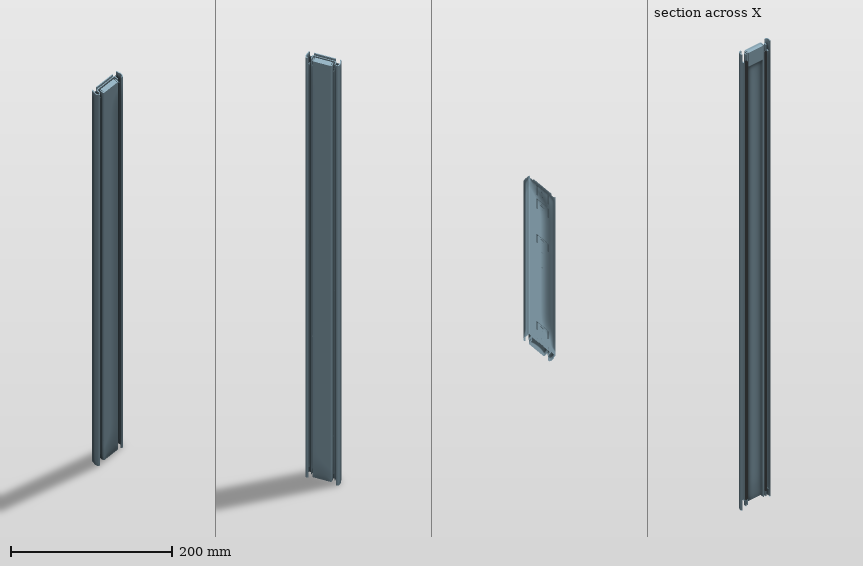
import cadquery as cq
import math


LENGTH = 750.0
WIDTH = 46.0
DEPTH = 12.0
TOP = LENGTH / 2
BOTTOM = -LENGTH / 2

SHEET = 1.2

CORNER_RADIUS = 1.4
BULGE_RADIUS = 8.0
BULGE_CENTER = 6.9
BULGE_ANGLE = math.radians(27)
LIP_RADIUS = 2.0
LIP_END = math.radians(130)
WEB_NORMAL = math.radians(-90)

NESTED_TOP = 372.0
NESTED_BOTTOM = -371.0
NESTED_LENGTH = NESTED_TOP - NESTED_BOTTOM
NESTED_CORNER = 1.9
WEB_GAP = 0.45
MIDDLE_WEB_START = SHEET + WEB_GAP
MIDDLE_WIDTH = 32.0
MIDDLE_FLANGE_END = 8.0
INNER_WIDTH = 26.0
INNER_FLANGE_END = 5.0
END_NOTCH_WIDTH = 7.5
END_NOTCH_DEPTH = 2.0

RETAINER_LENGTH = 720.0
STRIP_START = 4.0
STRIP_DEPTH = 4.0
STRIP_THICKNESS = 1.5
CAGE_SHEET = 1.0
CAGE_CLEARANCE = 0.3

BLOCK_DEPTH = 6.0
BLOCK_WIDTH = 22.5
BLOCK_LENGTH = 22.5

SLOT_WIDTH = 20.0
SLOT_LEG = 2.0
SLOT_BRIDGE = 4.5
SLOT_CORNER = 4.0
TONGUE_CORNER = 3.0
LONG_SLOT = 49.5
SHORT_SLOT = 43.0
U_SLOTS = [(360.0, LONG_SLOT), (297.0, LONG_SLOT), (127.5, SHORT_SLOT), (-288.0, SHORT_SLOT)]

RIVET_HOLE = 4.0
RIVET_HEIGHTS = [367.0, 349.0, 286.0, 58.0, -13.0, -355.5]
UPPER_HOLE = 5.0
UPPER_HOLE_HEIGHT = 340.5
OBLONG_LENGTH = 10.0
OBLONG_WIDTH = 2.0
OBLONG_HEIGHT = 325.0
SCREW_HOLE = 7.0
SCREW_HEIGHTS = [277.0, 116.0, -299.0]
PILOT_HOLE = 2.0
PILOT_PITCH = 7.0
PILOT_PAIR_TOPS = [264.0, 106.5, -309.0]

WINDOW_INNER_EDGE = 14.0
WINDOW_OUTER_EDGE = 20.0
WINDOW_DEPTH = 7.5
TONGUE_END = -366.0
RELIEF_TOP = -364.5


def on_arc(center, radius, angle):
    return (center[0] + radius * math.sin(angle), center[1] + radius * math.cos(angle))


def add_arc(path, center, radius, start, end):
    """Continue a path along an arc that begins at the path's end."""
    return path.threePointArc(on_arc(center, radius, (start + end) / 2), on_arc(center, radius, end))


def bent_sheet(half_path, thickness, length):
    """C section from the +Y half of its centreline, thickened, extruded upward and mirrored."""
    half = half_path.wire().offset2D(thickness / 2).extrude(length)
    return half.union(half.mirror("XZ")).clean()


def web_cut(sketch):
    """Cutter through the outer web from a closed sketch on the YZ plane."""
    return sketch.extrude(SHEET)


def web_box(y_center, z_low, width, height):
    return cq.Workplane("XY").box(SHEET, width, height, centered=(False, True, False)).translate(
        (0, y_center, z_low)
    )


def outer_section():
    """Half centreline of the outer rail: web, rounded corner, flat, bulged flange and curled lip."""
    web_x = SHEET / 2
    corner = CORNER_RADIUS - SHEET / 2
    bulge = BULGE_RADIUS - SHEET / 2
    lip = LIP_RADIUS - SHEET / 2
    bulge_center = (BULGE_CENTER, WIDTH / 2 - BULGE_RADIUS)
    bulge_start = on_arc(bulge_center, bulge, -BULGE_ANGLE)
    corner_center = (CORNER_RADIUS, bulge_start[1] - corner)
    lip_center = on_arc(bulge_center, bulge - lip, BULGE_ANGLE)
    path = cq.Workplane("XY").moveTo(web_x, 0).lineTo(web_x, corner_center[1])
    path = add_arc(path, corner_center, corner, WEB_NORMAL, 0)
    path = path.lineTo(*bulge_start)
    path = add_arc(path, bulge_center, bulge, -BULGE_ANGLE, BULGE_ANGLE)
    return add_arc(path, lip_center, lip, BULGE_ANGLE, LIP_END)


def nested_section(web_x, flange_end, width, thickness):
    """Half centreline of a C section: web at web_x, rounded corner, straight flange to flange_end."""
    toward_end = math.copysign(1, flange_end - web_x)
    radius = NESTED_CORNER - thickness / 2
    flange_y = width / 2 - thickness / 2
    center = (web_x + toward_end * radius, flange_y - radius)
    path = cq.Workplane("XY").moveTo(web_x, 0).lineTo(web_x, center[1])
    path = add_arc(path, center, radius, -toward_end * math.pi / 2, 0)
    return path.lineTo(flange_end - toward_end * thickness / 2, flange_y)


def u_slot(top, length):
    tongue_width = SLOT_WIDTH - 2 * SLOT_LEG
    outside = web_box(0, top - length, SLOT_WIDTH, length).edges("|X and >Z").fillet(SLOT_CORNER)
    tongue = web_box(0, top - length, tongue_width, length - SLOT_BRIDGE)
    tongue = tongue.edges("|X and >Z").fillet(TONGUE_CORNER)
    return outside.cut(tongue)


def round_holes(diameter, heights):
    points = [(0, z) for z in heights]
    return web_cut(cq.Workplane("YZ").pushPoints(points).circle(diameter / 2))


def oblong_hole():
    sketch = cq.Workplane("YZ").center(0, OBLONG_HEIGHT).slot2D(OBLONG_LENGTH, OBLONG_WIDTH, 90)
    return web_cut(sketch)


def top_windows():
    width = WINDOW_OUTER_EDGE - WINDOW_INNER_EDGE
    center = (WINDOW_OUTER_EDGE + WINDOW_INNER_EDGE) / 2
    low = TOP - WINDOW_DEPTH
    return web_box(center, low, width, WINDOW_DEPTH).union(web_box(-center, low, width, WINDOW_DEPTH))


def bottom_notch():
    """Notch open at the lower end, with a narrow relief in each upper corner."""
    notch = web_box(0, BOTTOM, SLOT_WIDTH, TONGUE_END - BOTTOM)
    relief_y = (SLOT_WIDTH - SLOT_LEG) / 2
    for y in (-relief_y, relief_y):
        notch = notch.union(web_box(y, BOTTOM, SLOT_LEG, RELIEF_TOP - BOTTOM))
    return notch


def make_outer_rail():
    rail = bent_sheet(outer_section(), SHEET, LENGTH).translate((0, 0, BOTTOM))
    for top, length in U_SLOTS:
        rail = rail.cut(u_slot(top, length))
    pilots = PILOT_PAIR_TOPS + [z - PILOT_PITCH for z in PILOT_PAIR_TOPS]
    rail = rail.cut(round_holes(RIVET_HOLE, RIVET_HEIGHTS))
    rail = rail.cut(round_holes(UPPER_HOLE, [UPPER_HOLE_HEIGHT]))
    rail = rail.cut(round_holes(SCREW_HOLE, SCREW_HEIGHTS))
    rail = rail.cut(round_holes(PILOT_HOLE, pilots))
    return rail.cut(oblong_hole()).cut(top_windows()).cut(bottom_notch())


def make_middle_rail():
    section = nested_section(MIDDLE_WEB_START + SHEET / 2, MIDDLE_FLANGE_END, MIDDLE_WIDTH, SHEET)
    rail = bent_sheet(section, SHEET, NESTED_LENGTH).translate((0, 0, NESTED_BOTTOM))
    notch = web_box(0, NESTED_BOTTOM, END_NOTCH_WIDTH, END_NOTCH_DEPTH)
    return rail.cut(notch.translate((MIDDLE_WEB_START, 0, 0)))


def make_inner_rail():
    section = nested_section(DEPTH - SHEET / 2, INNER_FLANGE_END, INNER_WIDTH, SHEET)
    return bent_sheet(section, SHEET, NESTED_LENGTH).translate((0, 0, NESTED_BOTTOM))


def make_retainer_strip(side):
    """Strip midway between the outer and middle flanges, on the side given by the sign of Y."""
    y = side * (WIDTH / 2 - SHEET + MIDDLE_WIDTH / 2) / 2
    strip = cq.Workplane("XY").box(STRIP_DEPTH, STRIP_THICKNESS, RETAINER_LENGTH)
    return strip.translate((STRIP_START + STRIP_DEPTH / 2, y, 0))


def make_cage():
    """C-shaped cage lining the middle rail, clear of it and of the inner flanges."""
    web_x = MIDDLE_WEB_START + SHEET + CAGE_CLEARANCE + CAGE_SHEET / 2
    width = MIDDLE_WIDTH - 2 * (SHEET + CAGE_CLEARANCE)
    section = nested_section(web_x, MIDDLE_FLANGE_END, width, CAGE_SHEET)
    return bent_sheet(section, CAGE_SHEET, RETAINER_LENGTH).translate((0, 0, -RETAINER_LENGTH / 2))


def make_stop_block():
    block = cq.Workplane("XY").box(BLOCK_DEPTH, BLOCK_WIDTH, BLOCK_LENGTH)
    return block.translate((DEPTH - SHEET - BLOCK_DEPTH / 2, 0, NESTED_TOP - BLOCK_LENGTH / 2))


outer_rail = make_outer_rail()
middle_rail = make_middle_rail()
inner_rail = make_inner_rail()
retainer_strips = [make_retainer_strip(side) for side in (-1, 1)]
cage = make_cage()
stop_block = make_stop_block()

result = cq.Compound.makeCompound(
    [
        outer_rail.val(),
        middle_rail.val(),
        inner_rail.val(),
        *[strip.val() for strip in retainer_strips],
        cage.val(),
        stop_block.val(),
    ]
)